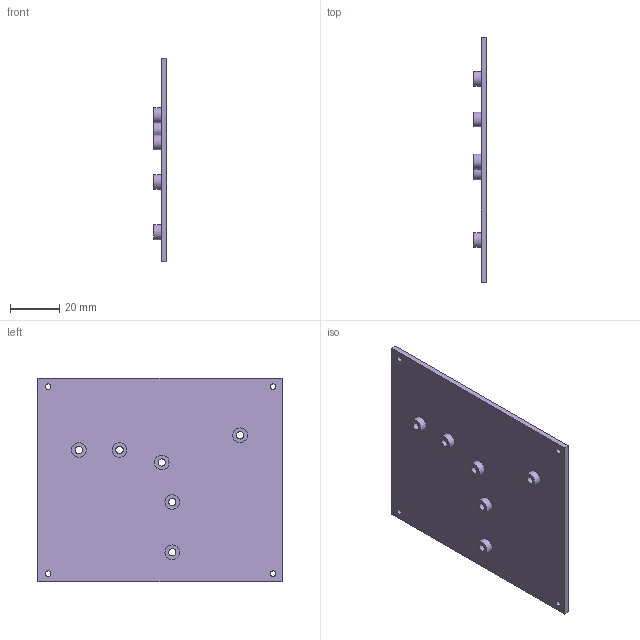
import cadquery as cq

plate_thickness = 2.0
plate_width = 99.75
plate_height = 82.83

standoff_height = 3.0
standoff_diameter = 6.0

outer_pair_bore = 3.1
outer_pair_z = 12.25
outer_pair_centers = [(33.05, outer_pair_z), (16.5, outer_pair_z)]
scattered_bore = 3.0
lower_pair_y = -5.0
scattered_centers = [(-0.69, 7.12), (-32.66, 18.2), (lower_pair_y, -8.95), (lower_pair_y, -29.445)]

corner_hole_diameter = 2.25
corner_hole_spacing_y = 91.6
corner_hole_spacing_z = 76.18
corner_hole_offset_y = -0.27
corner_hole_offset_z = -0.05


def make_plate():
    return cq.Workplane("XY").box(
        plate_thickness, plate_width, plate_height, centered=(False, True, True)
    )


def x_cylinder(diameter, x_start, x_end, centers):
    """Cylinders along X, one at each (y, z) center."""
    return (
        cq.Workplane("YZ", origin=(x_start, 0, 0))
        .pushPoints(centers)
        .circle(diameter / 2)
        .extrude(x_end - x_start)
    )


def add_standoffs(body, bore, centers):
    """Standoffs on the -X face, each bored through itself and the plate."""
    posts = x_cylinder(standoff_diameter, -standoff_height, 0, centers)
    bores = x_cylinder(bore, -standoff_height, plate_thickness, centers)
    return body.union(posts).cut(bores)


def cut_corner_holes(body):
    half_y = corner_hole_spacing_y / 2
    half_z = corner_hole_spacing_z / 2
    centers = [
        (corner_hole_offset_y + side_y * half_y, corner_hole_offset_z + side_z * half_z)
        for side_y in (-1, 1)
        for side_z in (-1, 1)
    ]
    return body.cut(x_cylinder(corner_hole_diameter, 0, plate_thickness, centers))


plate = make_plate()
plate = add_standoffs(plate, outer_pair_bore, outer_pair_centers)
plate = add_standoffs(plate, scattered_bore, scattered_centers)
result = cut_corner_holes(plate)